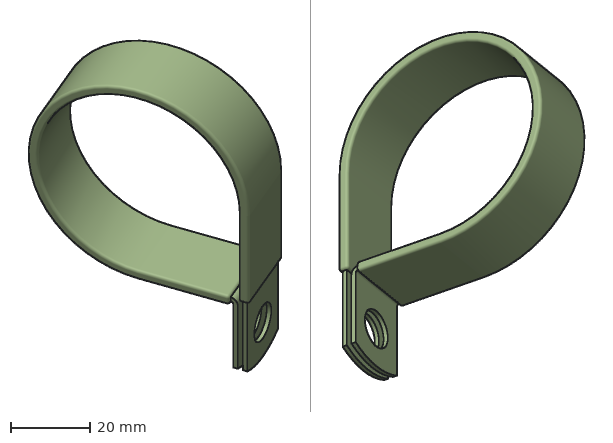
import cadquery as cq
import math

height = 83.7
loop_radius = 30.6
overall_width = 20.6
cover = 0.795
strap_thickness = 1.25
cushion_leg_end = 28.55
cushion_foot_end = 25.1
tab_gap = 1.4
hole_diameter = 10.5
hole_to_tip = 11.1
tip_sag = 2.2

cushion_thickness = strap_thickness + 2 * cover
strap_width = overall_width - 2 * cover
strap_outer = loop_radius - cover
strap_inner = strap_outer - strap_thickness
tip_z = loop_radius - height
hole_z = tip_z + hole_to_tip
front_tab_outer = strap_inner - tab_gap
bend_outer_radius = front_tab_outer - cushion_foot_end
bend_inner_radius = bend_outer_radius - strap_thickness
bend_z = -strap_inner - bend_outer_radius
root_half = math.sqrt(0.5)


def extrude_centred(profile, width):
    """Extrude an XZ profile symmetrically about Y = 0."""
    return profile.extrude(width / 2, both=True)


def make_cushion():
    """Three-quarter loop with two straight ends and fully rounded edges."""
    inner = loop_radius - cushion_thickness
    profile = (
        cq.Workplane("XZ")
        .moveTo(loop_radius, -cushion_leg_end)
        .lineTo(loop_radius, 0)
        .threePointArc((-loop_radius * root_half, loop_radius * root_half), (0, -loop_radius))
        .lineTo(cushion_foot_end, -loop_radius)
        .lineTo(cushion_foot_end, -inner)
        .lineTo(0, -inner)
        .threePointArc((-inner * root_half, inner * root_half), (inner, 0))
        .lineTo(inner, -cushion_leg_end)
        .close()
    )
    body = extrude_centred(profile, overall_width)
    return body.edges().fillet(cover)


def make_straight_tab():
    """Strap continuing straight down from the vertical cushion end."""
    profile = (
        cq.Workplane("XZ")
        .moveTo(strap_inner, 0)
        .lineTo(strap_outer, 0)
        .lineTo(strap_outer, tip_z)
        .lineTo(strap_inner, tip_z)
        .close()
    )
    return extrude_centred(profile, strap_width)


def make_bent_tab():
    """Strap leaving the horizontal cushion end and bending down."""
    bend_x = cushion_foot_end
    outer_mid = bend_outer_radius * root_half
    inner_mid = bend_inner_radius * root_half
    profile = (
        cq.Workplane("XZ")
        .moveTo(0, -strap_inner)
        .lineTo(bend_x, -strap_inner)
        .threePointArc((bend_x + outer_mid, bend_z + outer_mid), (front_tab_outer, bend_z))
        .lineTo(front_tab_outer, tip_z)
        .lineTo(front_tab_outer - strap_thickness, tip_z)
        .lineTo(front_tab_outer - strap_thickness, bend_z)
        .threePointArc((bend_x + inner_mid, bend_z + inner_mid), (bend_x, -strap_outer))
        .lineTo(0, -strap_outer)
        .close()
    )
    return extrude_centred(profile, strap_width)


def make_tab_outline():
    """Block along X that limits the tabs to a rounded tip with a bolt hole."""
    half_width = strap_width / 2
    return (
        cq.Workplane("YZ")
        .moveTo(-half_width, 0)
        .lineTo(-half_width, tip_z + tip_sag)
        .threePointArc((0, tip_z), (half_width, tip_z + tip_sag))
        .lineTo(half_width, 0)
        .close()
        .moveTo(0, hole_z)
        .circle(hole_diameter / 2)
        .extrude(loop_radius)
    )


tabs = make_straight_tab().union(make_bent_tab()).intersect(make_tab_outline())
result = make_cushion().union(tabs)